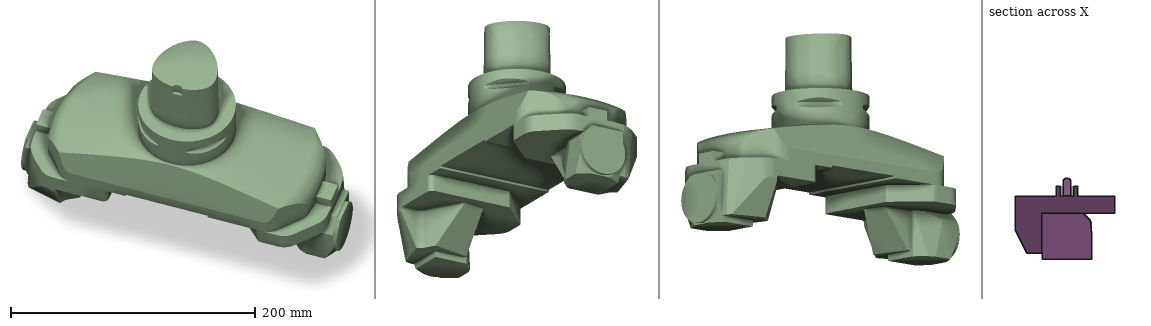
import cadquery as cq
import math


OVERALL_LENGTH = 272.64
OVERALL_HEIGHT = 170.28
HALF_WIDTH = 52.0
BIG = 400.0

PICK = 0.5
CLEARANCE = 1.0

SHANK_LENGTH = 48.0
SHANK_BASE_WIDTH = 55.3
SHANK_TIP_WIDTH = 53.8
SHANK_OUTLINE_STEPS = 36
SHANK_LOBE = 2.0
KEYWAY_RADIUS = 5.0
KEYWAY_AXIS_Y = -27.0
KEYWAY_DEPTH = 8.3
FLANGE_DIAMETER = 80.0
FLANGE_HEIGHT = 30.0
GRIP_DROP = 12.2
GRIP_FLOOR_DISTANCE = 35.3
GRIP_FLOOR_HEIGHT = 3.0
GRIP_WALL_ANGLE = 30.0

CARTRIDGE_BOTTOM_Z = -52.0
BRIDGE_HEIGHT = OVERALL_HEIGHT + CARTRIDGE_BOTTOM_Z - SHANK_LENGTH - FLANGE_HEIGHT
BRIDGE_END_RADIUS = 114.7
BRIDGE_CROWN_RADIUS = FLANGE_DIAMETER / 2
BRIDGE_CONE_ANGLE = 12.0
BRIDGE_SHOULDER_RADIUS = 14.0
CROWN_SKIRT = 5.0
BRIDGE_SIDE_HEIGHT = 10.7
BRIDGE_SIDE_LEAN = 20.0
BRIDGE_BEVEL_INNER = (94.8, 46.3)
BRIDGE_BEVEL_OUTER = (109.6, 29.0)
BRIDGE_CORNER_RADIUS = 15.5
RELIEF_HALF_LENGTH = 35.6
RELIEF_DEPTH = 1.8

SLIDE_END_X = -127.6
SLIDE_INNER_X = -51.2
PLATE_THICKNESS = 14.0
BACK_SIDE_CORNER_X = -103.7
BACK_END_CORNER_Y = 24.1
FRONT_SIDE_CORNER_X = -105.6
FRONT_END_CORNER_Y = -28.9
INNER_BEVEL_LENGTH = 28.3
SLIDE_SIDE_RADIUS = 15.5
SLIDE_END_RADIUS = 19.0
SLIDE_INNER_RADIUS = 5.0
WALL_FOOT_X = -130.5
WALL_END_POINTS = ((-127.6, -15.0, 0.0), (-127.6, -20.0, -10.0), (-129.0, -25.7, -47.0))
BEVEL_POINTS = ((-126.6, -29.8, -47.0), (-96.7, -37.7, -47.0), (-110.2, -47.2, -20.5))
WEB_TIP_POINTS = ((-60.9, -13.2, -14.5), (-83.9, -27.0, -47.0), (-65.3, 7.0, -14.5))
TOP_BLEND = ((-126.45, -25.7), (-117.8, -39.22))
FOOT_BLEND = ((-129.02, -25.7), (-126.5, -30.08))
BLEND_BULGE = 0.042
UNDERSIDE_FILLET = 1.4
WALL_BOTTOM_Z = -47.0
WALL_INNER_X = -96.7
WEB_ROOT_Y = -34.7
WEB_ANGLE = 31.0
WEB_BACK_Y = 7.0
WEB_ROOT_RADIUS = 9.4
TONGUE_HALF_WIDTH = 8.8
TONGUE_HEIGHT = 8.3

CARTRIDGE_FRONT_X = -133.1
CARTRIDGE_BACK_X = -94.7
CARTRIDGE_HALF_WIDTH = 20.5
HEAD_TOP_Z = -9.5
TOP_CHAMFER = 11.4
SHALLOW_RELIEF_POINTS = ((-117.2, 20.5, -20.6), (-109.6, 20.5, -52.0), (-106.6, 15.5, -15.6))
STEEP_RELIEF_POINTS = ((-95.5, 10.9, -15.6), (-103.6, 18.0, -52.0), (-94.7, 9.1, -52.0))
CORNER_CUT_HEIGHT = 15.0
CORNER_CUT_LENGTH = 7.0
CORNER_CUT_WIDTH = 12.0

CAP_FACE_X = -OVERALL_LENGTH / 2
CAP_RADIUS = 20.8
CAP_CENTRE_Z = -30.4
CAP_FLAT_HEIGHT = 19.3


def block_beyond(p1, p2, p3, outward):
    """Large block whose face is the plane of three points, on the outward side."""
    a, b, c = cq.Vector(*p1), cq.Vector(*p2), cq.Vector(*p3)
    normal = (b - a).cross(c - a)
    if normal.dot(cq.Vector(*outward)) < 0:
        normal = normal * -1
    return cq.Workplane(cq.Plane(p1, normal=normal.toTuple())).rect(BIG, BIG).extrude(BIG)


def shank_outline(plane, width):
    """Closed three-lobed curve of constant width, one lobe toward +Y."""
    points = []
    for step in range(SHANK_OUTLINE_STEPS):
        angle = 2 * math.pi * step / SHANK_OUTLINE_STEPS
        along = (
            width / 2 * math.cos(angle)
            + 2 * SHANK_LOBE * math.cos(2 * angle)
            - SHANK_LOBE * math.cos(4 * angle)
        )
        across = (
            width / 2 * math.sin(angle)
            - 2 * SHANK_LOBE * math.sin(2 * angle)
            - SHANK_LOBE * math.sin(4 * angle)
        )
        points.append((-across, along))
    return plane.spline(points, periodic=True).close()


def make_shank(base_z):
    base = shank_outline(cq.Workplane("XY", origin=(0, 0, base_z)), SHANK_BASE_WIDTH)
    shank = shank_outline(base.workplane(offset=SHANK_LENGTH), SHANK_TIP_WIDTH).loft(ruled=True)
    keyway = (
        cq.Workplane("XY", origin=(0, KEYWAY_AXIS_Y, base_z + SHANK_LENGTH - KEYWAY_DEPTH))
        .circle(KEYWAY_RADIUS)
        .extrude(KEYWAY_DEPTH)
    )
    return shank.cut(keyway)


def make_flange(base_z):
    """Round flange with four straight gripper grooves at 45 degrees."""
    flange = cq.Workplane("XY", origin=(0, 0, base_z)).circle(FLANGE_DIAMETER / 2)
    flange = flange.extrude(FLANGE_HEIGHT)
    groove_depth = FLANGE_DIAMETER / 2 - GRIP_FLOOR_DISTANCE
    floor_half = GRIP_FLOOR_HEIGHT / 2
    mouth_half = floor_half + groove_depth * math.tan(math.radians(GRIP_WALL_ANGLE))
    groove = (
        cq.Workplane("XZ", origin=(0, 0, base_z + FLANGE_HEIGHT - GRIP_DROP))
        .moveTo(GRIP_FLOOR_DISTANCE, -floor_half)
        .lineTo(FLANGE_DIAMETER / 2, -mouth_half)
        .lineTo(FLANGE_DIAMETER / 2, mouth_half)
        .lineTo(GRIP_FLOOR_DISTANCE, floor_half)
        .close()
        .extrude(FLANGE_DIAMETER / 2, both=True)
    )
    for angle in (45, 135, 225, 315):
        flange = flange.cut(groove.rotate((0, 0, 0), (0, 0, 1), angle))
    return flange


def bridge_plan():
    """Upright bridge block: arced ends, bevelled and rounded plan corners."""
    plan = cq.Workplane("XY").circle(BRIDGE_END_RADIUS).extrude(BRIDGE_HEIGHT)
    plan = plan.intersect(cq.Workplane("XY").box(BIG, 2 * HALF_WIDTH, BIG))
    for sx in (-1, 1):
        for sy in (-1, 1):
            inner = (sx * BRIDGE_BEVEL_INNER[0], sy * BRIDGE_BEVEL_INNER[1], 0)
            outer = (sx * BRIDGE_BEVEL_OUTER[0], sy * BRIDGE_BEVEL_OUTER[1], 0)
            above = (inner[0], inner[1], BRIDGE_HEIGHT)
            plan = plan.cut(block_beyond(inner, outer, above, (sx, sy, 0)))
    return plan.edges("|Z").fillet(BRIDGE_CORNER_RADIUS)


def bridge_crown():
    """Turned envelope: flat crown, shallow cone and a rounded shoulder down to the end arc."""
    angle = math.radians(BRIDGE_CONE_ANGLE)
    centre_r = BRIDGE_END_RADIUS - BRIDGE_SHOULDER_RADIUS
    cone_z = BRIDGE_HEIGHT - (centre_r - BRIDGE_CROWN_RADIUS) * math.tan(angle)
    centre_z = cone_z - BRIDGE_SHOULDER_RADIUS / math.cos(angle)

    def shoulder_point(lean):
        return (
            centre_r + BRIDGE_SHOULDER_RADIUS * math.sin(lean),
            centre_z + BRIDGE_SHOULDER_RADIUS * math.cos(lean),
        )

    return (
        cq.Workplane("XZ")
        .lineTo(BRIDGE_END_RADIUS + CROWN_SKIRT, 0)
        .lineTo(BRIDGE_END_RADIUS + CROWN_SKIRT, centre_z)
        .lineTo(BRIDGE_END_RADIUS, centre_z)
        .threePointArc(shoulder_point((angle + math.pi / 2) / 2), shoulder_point(angle))
        .lineTo(BRIDGE_CROWN_RADIUS, BRIDGE_HEIGHT)
        .lineTo(0, BRIDGE_HEIGHT)
        .close()
        .revolve(360, (0, 0, 0), (0, 1, 0))
    )


def make_bridge():
    body = bridge_plan().intersect(bridge_crown())
    lean_rise = BRIDGE_HEIGHT - BRIDGE_SIDE_HEIGHT
    top_half_width = HALF_WIDTH - lean_rise * math.tan(math.radians(BRIDGE_SIDE_LEAN))
    for sy in (-1, 1):
        knee = (0, sy * HALF_WIDTH, BRIDGE_SIDE_HEIGHT)
        knee_along = (BRIDGE_END_RADIUS, sy * HALF_WIDTH, BRIDGE_SIDE_HEIGHT)
        top = (0, sy * top_half_width, BRIDGE_HEIGHT)
        body = body.cut(block_beyond(knee, knee_along, top, (0, sy, 1)))
    relief = cq.Workplane("XY").box(2 * RELIEF_HALF_LENGTH, BIG, 2 * RELIEF_DEPTH)
    body = body.cut(relief)
    flange_top = BRIDGE_HEIGHT + FLANGE_HEIGHT
    return body.union(make_flange(BRIDGE_HEIGHT)).union(make_shank(flange_top))


def upright_edge(x, y):
    """Selects the upright edge standing at a plan position."""
    return cq.selectors.BoxSelector((x - PICK, y - PICK, -BIG), (x + PICK, y + PICK, BIG))


def slide_plate():
    """Flat top plate of the slide; the corners of the -Y bevel stay sharp here."""
    inner_bevel_y = HALF_WIDTH - INNER_BEVEL_LENGTH
    inner_front = (SLIDE_INNER_X, -HALF_WIDTH)
    inner_back = (SLIDE_INNER_X - INNER_BEVEL_LENGTH, HALF_WIDTH)
    back_side = (BACK_SIDE_CORNER_X, HALF_WIDTH)
    back_end = (SLIDE_END_X, BACK_END_CORNER_Y)
    plate = (
        cq.Workplane("XY")
        .moveTo(SLIDE_END_X, FRONT_END_CORNER_Y)
        .lineTo(FRONT_SIDE_CORNER_X, -HALF_WIDTH)
        .lineTo(*inner_front)
        .lineTo(SLIDE_INNER_X, inner_bevel_y)
        .lineTo(*inner_back)
        .lineTo(*back_side)
        .lineTo(*back_end)
        .close()
        .extrude(-PLATE_THICKNESS)
    )
    roundings = (
        (inner_front, SLIDE_INNER_RADIUS),
        (inner_back, SLIDE_INNER_RADIUS),
        (back_side, SLIDE_SIDE_RADIUS),
        (back_end, SLIDE_END_RADIUS),
    )
    for corner, radius in roundings:
        plate = plate.edges("|Z").edges(upright_edge(*corner)).fillet(radius)
    return plate


def slide_wall():
    """Upright wall beside the cartridge, following the bevel of the plate."""
    bevel_slope = (FRONT_END_CORNER_Y + HALF_WIDTH) / (SLIDE_END_X - FRONT_SIDE_CORNER_X)
    foot_corner_y = FRONT_END_CORNER_Y + bevel_slope * (WALL_FOOT_X - SLIDE_END_X)
    return (
        cq.Workplane("XY")
        .moveTo(WALL_INNER_X, -CARTRIDGE_HALF_WIDTH)
        .lineTo(WALL_FOOT_X, -CARTRIDGE_HALF_WIDTH)
        .lineTo(WALL_FOOT_X, foot_corner_y)
        .lineTo(FRONT_SIDE_CORNER_X, -HALF_WIDTH)
        .lineTo(WALL_INNER_X, -HALF_WIDTH)
        .close()
        .extrude(WALL_BOTTOM_Z)
    )


def blend_section(plane, start, end):
    """Waste outside the rounded corner between the wall end and the bevel."""
    height = BLEND_BULGE * math.dist(start, end)
    outside_x = WALL_FOOT_X - CLEARANCE
    return (
        plane.moveTo(*start)
        .sagittaArc(end, -height)
        .lineTo(outside_x, end[1])
        .lineTo(outside_x, start[1])
        .close()
    )


def corner_blend_waste():
    """Cutter for the corner blend, which narrows from the top to the foot."""
    top = blend_section(cq.Workplane("XY"), *TOP_BLEND)
    return blend_section(top.workplane(offset=WALL_BOTTOM_Z), *FOOT_BLEND).loft(ruled=True)


def slide_web():
    """Tapered rib behind the cartridge, ending in a raked face."""
    length = SLIDE_INNER_X - WALL_INNER_X
    tip_y = WEB_ROOT_Y + length * math.tan(math.radians(WEB_ANGLE))
    web = (
        cq.Workplane("XY")
        .moveTo(WALL_INNER_X, WEB_ROOT_Y)
        .lineTo(SLIDE_INNER_X, tip_y)
        .lineTo(SLIDE_INNER_X, WEB_BACK_Y)
        .lineTo(WALL_INNER_X, WEB_BACK_Y)
        .close()
        .extrude(WALL_BOTTOM_Z)
    )
    return web.cut(block_beyond(*WEB_TIP_POINTS, outward=(1, 0, -1)))


def slide_tongue():
    """Raised tongue on the plate that butts against the bridge end."""
    inside_bridge_x = -BRIDGE_BEVEL_OUTER[0]
    tongue = (
        cq.Workplane("XY")
        .moveTo(SLIDE_END_X, -TONGUE_HALF_WIDTH)
        .lineTo(inside_bridge_x, -TONGUE_HALF_WIDTH)
        .lineTo(inside_bridge_x, TONGUE_HALF_WIDTH)
        .lineTo(SLIDE_END_X, TONGUE_HALF_WIDTH)
        .close()
        .extrude(TONGUE_HEIGHT)
    )
    return tongue.cut(cq.Workplane("XY").circle(BRIDGE_END_RADIUS).extrude(TONGUE_HEIGHT))


def make_slide():
    slide = slide_plate().union(slide_wall()).union(slide_web())
    root = upright_edge(WALL_INNER_X, WEB_ROOT_Y)
    slide = slide.edges("|Z").edges(root).fillet(WEB_ROOT_RADIUS)
    side_corner = upright_edge(FRONT_SIDE_CORNER_X, -HALF_WIDTH)
    slide = slide.edges("|Z").edges(side_corner).fillet(SLIDE_SIDE_RADIUS)
    junction = cq.selectors.BoxSelector(
        (WALL_INNER_X - PICK, PICK - HALF_WIDTH, -PLATE_THICKNESS - PICK),
        (WEB_TIP_POINTS[2][0], WEB_BACK_Y + PICK, PICK - PLATE_THICKNESS),
    )
    slide = slide.edges(junction).fillet(UNDERSIDE_FILLET)
    slide = slide.cut(block_beyond(*BEVEL_POINTS, outward=(0, -1, -1)))
    slide = slide.cut(block_beyond(*WALL_END_POINTS, outward=(-1, 0, 0)))
    slide = slide.cut(corner_blend_waste())
    return slide.union(slide_tongue()).cut(cartridge_blank())


def cartridge_blank():
    """Square block under the plate, with a taller head past the end of the plate."""
    return (
        cq.Workplane("XZ")
        .moveTo(CARTRIDGE_FRONT_X, CARTRIDGE_BOTTOM_Z)
        .lineTo(CARTRIDGE_BACK_X, CARTRIDGE_BOTTOM_Z)
        .lineTo(CARTRIDGE_BACK_X, -PLATE_THICKNESS)
        .lineTo(SLIDE_END_X, -PLATE_THICKNESS)
        .lineTo(SLIDE_END_X, HEAD_TOP_Z)
        .lineTo(CARTRIDGE_FRONT_X, HEAD_TOP_Z)
        .close()
        .extrude(CARTRIDGE_HALF_WIDTH, both=True)
    )


def make_cartridge():
    cartridge = cartridge_blank()
    side = (CARTRIDGE_BACK_X, CARTRIDGE_HALF_WIDTH, HEAD_TOP_Z - TOP_CHAMFER)
    side_far = (CARTRIDGE_FRONT_X, CARTRIDGE_HALF_WIDTH, HEAD_TOP_Z - TOP_CHAMFER)
    top = (CARTRIDGE_BACK_X, CARTRIDGE_HALF_WIDTH - TOP_CHAMFER, HEAD_TOP_Z)
    cartridge = cartridge.cut(block_beyond(side, side_far, top, (0, 1, 1)))
    for points in (SHALLOW_RELIEF_POINTS, STEEP_RELIEF_POINTS):
        cartridge = cartridge.cut(block_beyond(*points, outward=(1, 1, 0)))
    for sy in (-1, 1):
        y = sy * CARTRIDGE_HALF_WIDTH
        up = (CARTRIDGE_FRONT_X, y, CARTRIDGE_BOTTOM_Z + CORNER_CUT_HEIGHT)
        back = (CARTRIDGE_FRONT_X + CORNER_CUT_LENGTH, y, CARTRIDGE_BOTTOM_Z)
        across = (CARTRIDGE_FRONT_X, y - sy * CORNER_CUT_WIDTH, CARTRIDGE_BOTTOM_Z)
        cartridge = cartridge.cut(block_beyond(up, back, across, (-1, sy, -1)))
    return cartridge


def make_cap():
    """Round plate with a flat on top and two straight flanks tangent to the circle."""
    tangent = CAP_RADIUS * math.sqrt(0.5)
    flat_half = CAP_RADIUS * math.sqrt(2) - CAP_FLAT_HEIGHT
    return (
        cq.Workplane("YZ", origin=(CAP_FACE_X, 0, CAP_CENTRE_Z))
        .moveTo(tangent, tangent)
        .lineTo(flat_half, CAP_FLAT_HEIGHT)
        .lineTo(-flat_half, CAP_FLAT_HEIGHT)
        .lineTo(-tangent, tangent)
        .threePointArc((0, -CAP_RADIUS), (tangent, tangent))
        .close()
        .extrude(CARTRIDGE_FRONT_X - CAP_FACE_X)
    )


bodies = [make_bridge().solids().val()]
for make_body in (make_slide, make_cartridge, make_cap):
    left = make_body()
    for turn in (0, 180):
        bodies.append(left.rotate((0, 0, 0), (0, 0, 1), turn).solids().val())

result = cq.Compound.makeCompound(bodies)